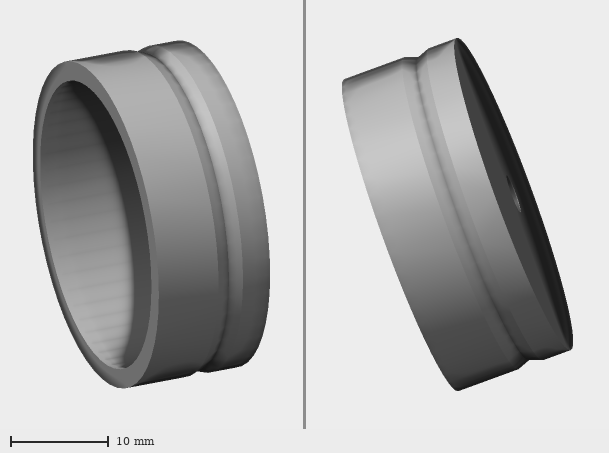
import cadquery as cq

outer_diameter = 34.0
inner_diameter = 30.0
hole_diameter = 4.05
cap_length = 12.3
floor_thickness = 0.6

groove_back_offset = 3.0
groove_width = 2.7
groove_depth = 0.5

outer_radius = outer_diameter / 2
inner_radius = inner_diameter / 2
hole_radius = hole_diameter / 2

back_y = cap_length
floor_y = back_y - floor_thickness
groove_back_y = back_y - groove_back_offset
groove_bottom_y = groove_back_y - groove_width / 2
groove_front_y = groove_back_y - groove_width


def make_cap():
    """Revolve the half section (radius along X, length along Y) about the Y axis."""
    half_section = (
        cq.Workplane("XY")
        .moveTo(hole_radius, back_y)
        .lineTo(outer_radius, back_y)
        .lineTo(outer_radius, groove_back_y)
        .lineTo(outer_radius - groove_depth, groove_bottom_y)
        .lineTo(outer_radius, groove_front_y)
        .lineTo(outer_radius, 0)
        .lineTo(inner_radius, 0)
        .lineTo(inner_radius, floor_y)
        .lineTo(hole_radius, floor_y)
        .close()
    )
    return half_section.revolve(360, (0, 0, 0), (0, 1, 0))


result = make_cap()